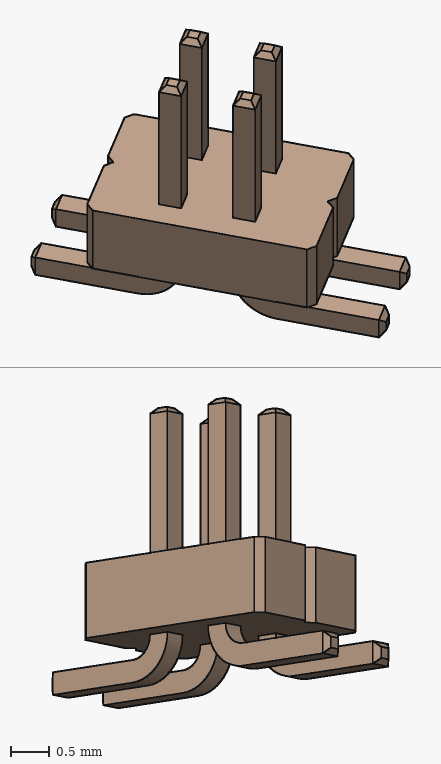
import cadquery as cq

overall_length = 4.8
body_length = 3.1
body_width = 2.0
body_height = 1.0
standoff = 0.6
pin_top = 3.6

rows = 2
pitch = body_width / rows
row_positions = [(row - (rows - 1) / 2) * pitch for row in range(rows)]
pin_size = standoff / 2
tip_chamfer = 0.075
corner_chamfer = 0.1


def make_body():
    """Housing built from one corner-chamfered block per row."""
    body = cq.Workplane("XY")
    for row_y in row_positions:
        cell = (
            cq.Workplane("XY")
            .box(body_length, pitch, body_height, centered=(True, True, False))
            .edges("|Z")
            .chamfer(corner_chamfer)
            .translate((0, row_y, standoff))
        )
        body = body.add(cell)
    return body.combine()


def make_left_pin():
    """Square pin at y = 0, bent from vertical to a foot pointing toward -X."""
    right_side = -pitch / 2 + pin_size / 2
    left_side = right_side - pin_size
    bend_x = right_side - standoff
    foot_end = -overall_length / 2
    inner_radius = standoff - pin_size
    diagonal = 0.5 ** 0.5
    pin = (
        cq.Workplane("XZ")
        .moveTo(foot_end, 0)
        .lineTo(bend_x, 0)
        .threePointArc(
            (bend_x + standoff * diagonal, standoff * (1 - diagonal)),
            (right_side, standoff),
        )
        .lineTo(right_side, pin_top)
        .lineTo(left_side, pin_top)
        .lineTo(left_side, standoff)
        .threePointArc(
            (bend_x + inner_radius * diagonal, standoff - inner_radius * diagonal),
            (bend_x, pin_size),
        )
        .lineTo(foot_end, pin_size)
        .close()
        .extrude(pin_size / 2, both=True)
    )
    return pin.faces(">Z or <X").edges().chamfer(tip_chamfer)


left_pin = make_left_pin()
right_pin = left_pin.mirror("YZ")

result = make_body()
for row_y in row_positions:
    for pin in (left_pin, right_pin):
        result = result.union(pin.translate((0, row_y, 0)))